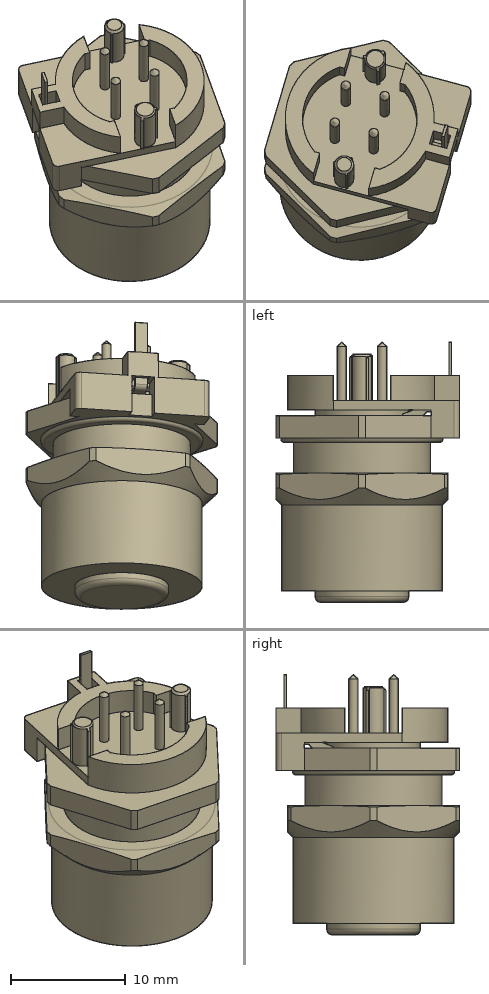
import cadquery as cq
import math

BODY_BOTTOM = 1.0
NUT_BOTTOM = 8.5
NUT_TOP = 11.3
GASKET_BOTTOM = 13.95
FLANGE_BOTTOM = 14.32
FLANGE_TOP = 16.3
PLATE_BOTTOM = 16.8
PLATE_TOP = 17.62
RING_TOP = 19.8
PEG_TOP = 21.65
TOTAL_HEIGHT = 22.7

INSERT_RADIUS = 4.09
INSERT_EDGE_RADIUS = 0.5
BODY_RADIUS = 7.01
NECK_RADIUS = 6.0
GASKET_RADIUS = 7.08
GASKET_EDGE_RADIUS = 0.3

HEX_FLATS = 15.0
HEX_CORNERS = 17.0
HEX_CORNER_RADIUS = HEX_CORNERS / 2
NUT_TOP_CHAMFER_DROP = 0.14
NUT_FACE_RADIUS = 7.26

PLATE_HALF_WIDTH = NECK_RADIUS
PLATE_FRONT = -8.51
SKIRT_BACK = -6.04
SKIRT_CORNER_RADIUS = 0.5

RING_OUTER_RADIUS = 6.5
RING_INNER_RADIUS = 5
RING_GAP = 5
RING_CAVITY_WIDTH = 8.05
BRIDGE_WIDTH = 2.72

CLIP_HOLE_WIDTH = 1.23
CLIP_HOLE_BACK = -6.5
CLIP_HOLE_FRONT = -8.05
NOTCH_WIDTH = 2.05
NOTCH_SLOPE_TOP = 17.27
NOTCH_SLOPE_BOTTOM = 16.82

CLIP_THICKNESS = 0.25
CLIP_WIDTH = 1.1
CLIP_FRONT = -7.83
CLIP_BOTTOM = 16.62
CLIP_BEND_RADIUS = 0.45
FOOT_WIDTH = 4.09
FOOT_BEND = -5.68
FOOT_HEEL = -5.35
FOOT_RIDGE = -4.45
FOOT_TOE = -3.25

PIN_PITCH = 3.52
PIN_RADIUS = 0.4
PIN_TIP_HEIGHT = 0.36

PEG_OFFSET = 5.02
LEFT_PEG = {"radius": 0.85, "top_radius": 0.64, "rib_reach": 0.95, "rib_width": 0.18}
RIGHT_PEG = {"radius": 0.9, "top_radius": 0.77, "rib_reach": 1.1, "rib_width": 0.27}
RIB_ANGLES = (90, 210, 330)


def cylinder(radius, bottom, top):
    return cq.Workplane("XY").workplane(offset=bottom).circle(radius).extrude(top - bottom)


def block(x_min, x_max, y_min, y_max, z_min, z_max):
    size = (x_max - x_min, y_max - y_min, z_max - z_min)
    return cq.Workplane("XY").box(*size, centered=False).translate((x_min, y_min, z_min))


def centred_block(width, y_min, y_max, z_min, z_max):
    return block(-width / 2, width / 2, y_min, y_max, z_min, z_max)


def hexagon(bottom, top):
    """Hexagonal prism with flats towards +Y and -Y and its corners turned to a circle."""
    corner_diameter = HEX_FLATS / math.cos(math.pi / 6)
    prism = cq.Workplane("XY").workplane(offset=bottom).polygon(6, corner_diameter).extrude(top - bottom)
    return prism.intersect(cylinder(HEX_CORNER_RADIUS, bottom, top))


def nut():
    """Hexagon with a 45 degree cone below and a shallow cone on top."""
    chamfer_rise = HEX_CORNER_RADIUS - BODY_RADIUS
    envelope = (
        cq.Workplane("XZ")
        .moveTo(0, NUT_BOTTOM)
        .lineTo(BODY_RADIUS, NUT_BOTTOM)
        .lineTo(HEX_CORNER_RADIUS, NUT_BOTTOM + chamfer_rise)
        .lineTo(HEX_CORNER_RADIUS, NUT_TOP - NUT_TOP_CHAMFER_DROP)
        .lineTo(NUT_FACE_RADIUS, NUT_TOP)
        .lineTo(0, NUT_TOP)
        .close()
        .revolve(360, (0, 0), (0, 1))
    )
    return hexagon(NUT_BOTTOM, NUT_TOP).intersect(envelope)


def housing():
    """Insert, round body, nut, neck, gasket and hexagonal flange on one axis."""
    insert = cylinder(INSERT_RADIUS, 0, PLATE_TOP).faces("<Z").edges().fillet(INSERT_EDGE_RADIUS)
    gasket = cylinder(GASKET_RADIUS, GASKET_BOTTOM, FLANGE_BOTTOM)
    gasket = gasket.faces("<Z").edges().fillet(GASKET_EDGE_RADIUS)
    return (
        insert.union(cylinder(BODY_RADIUS, BODY_BOTTOM, NUT_BOTTOM))
        .union(nut())
        .union(cylinder(NECK_RADIUS, NUT_TOP, GASKET_BOTTOM))
        .union(gasket)
        .union(hexagon(FLANGE_BOTTOM, FLANGE_TOP))
    )


def ring_cavity():
    """Space inside the ring together with the gaps on its two sides."""
    bore = cylinder(RING_INNER_RADIUS, PLATE_TOP, RING_TOP).intersect(
        centred_block(RING_CAVITY_WIDTH, -RING_INNER_RADIUS, RING_INNER_RADIUS, PLATE_TOP, RING_TOP)
    )
    gaps = centred_block(2 * RING_OUTER_RADIUS, -RING_GAP / 2, RING_GAP / 2, PLATE_TOP, RING_TOP)
    return bore.union(gaps)


def clip_opening():
    """Vertical hole through the bridge that opens into a notch in the skirt."""
    hole = centred_block(CLIP_HOLE_WIDTH, CLIP_HOLE_FRONT, CLIP_HOLE_BACK, FLANGE_BOTTOM, RING_TOP)
    notch = (
        cq.Workplane("YZ")
        .moveTo(PLATE_FRONT, FLANGE_BOTTOM)
        .lineTo(PLATE_FRONT, PLATE_TOP)
        .lineTo(CLIP_HOLE_BACK, PLATE_TOP)
        .lineTo(CLIP_HOLE_BACK, NOTCH_SLOPE_TOP)
        .lineTo(SKIRT_BACK, NOTCH_SLOPE_BOTTOM)
        .lineTo(SKIRT_BACK, FLANGE_BOTTOM)
        .close()
        .extrude(NOTCH_WIDTH / 2, both=True)
    )
    return hole.union(notch)


def mounting_plate():
    """Plate with the broken ring on top, the bridge and the skirt over the flange."""
    disc = cylinder(RING_OUTER_RADIUS, PLATE_BOTTOM, RING_TOP).intersect(
        centred_block(2 * PLATE_HALF_WIDTH, -RING_OUTER_RADIUS, RING_OUTER_RADIUS, PLATE_BOTTOM, RING_TOP)
    )
    bridge = centred_block(BRIDGE_WIDTH, PLATE_FRONT, -RING_INNER_RADIUS, PLATE_TOP, RING_TOP)
    slab = centred_block(2 * PLATE_HALF_WIDTH, PLATE_FRONT, RING_GAP / 2, PLATE_BOTTOM, PLATE_TOP)
    skirt = centred_block(2 * PLATE_HALF_WIDTH, PLATE_FRONT, SKIRT_BACK, FLANGE_BOTTOM, PLATE_TOP)
    base = slab.union(skirt).edges("|Z and <Y").fillet(SKIRT_CORNER_RADIUS)
    return disc.union(bridge).cut(ring_cavity()).union(base).cut(clip_opening())


def contact_clip():
    """Upright blade bent towards +Y into a wide foot with two arms resting on the flange."""
    outer_turn = CLIP_BEND_RADIUS * (1 - math.sqrt(0.5))
    inner_face = CLIP_FRONT + CLIP_THICKNESS
    foot_top = CLIP_BOTTOM + CLIP_THICKNESS
    blade = (
        cq.Workplane("YZ")
        .moveTo(CLIP_FRONT, TOTAL_HEIGHT)
        .lineTo(CLIP_FRONT, CLIP_BOTTOM + CLIP_BEND_RADIUS)
        .threePointArc(
            (CLIP_FRONT + outer_turn, CLIP_BOTTOM + outer_turn),
            (CLIP_FRONT + CLIP_BEND_RADIUS, CLIP_BOTTOM),
        )
        .lineTo(CLIP_HOLE_BACK, CLIP_BOTTOM)
        .lineTo(CLIP_HOLE_BACK, foot_top)
        .lineTo(inner_face, foot_top)
        .lineTo(inner_face, TOTAL_HEIGHT)
        .close()
        .extrude(CLIP_WIDTH / 2, both=True)
    )
    foot = (
        cq.Workplane("YZ")
        .moveTo(CLIP_HOLE_BACK, CLIP_BOTTOM)
        .lineTo(FOOT_BEND, CLIP_BOTTOM)
        .lineTo(FOOT_HEEL, FLANGE_TOP)
        .lineTo(FOOT_TOE, FLANGE_TOP)
        .lineTo(FOOT_RIDGE, PLATE_BOTTOM)
        .lineTo(SKIRT_BACK, foot_top)
        .lineTo(CLIP_HOLE_BACK, foot_top)
        .close()
        .extrude(FOOT_WIDTH / 2, both=True)
    )
    arm_gap = centred_block(NOTCH_WIDTH, CLIP_HOLE_BACK, FOOT_TOE, FLANGE_TOP, CLIP_BOTTOM)
    return blade.union(foot.cut(arm_gap))


def pin(x, y):
    """Round contact pin with a conical tip."""
    tip_bottom = TOTAL_HEIGHT - PIN_TIP_HEIGHT
    return (
        cq.Workplane("XZ")
        .moveTo(0, PLATE_BOTTOM)
        .lineTo(PIN_RADIUS, PLATE_BOTTOM)
        .lineTo(PIN_RADIUS, tip_bottom)
        .lineTo(0, TOTAL_HEIGHT)
        .close()
        .revolve(360, (0, 0), (0, 1))
        .translate((x, y, 0))
    )


def peg(x, radius, top_radius, rib_reach, rib_width):
    """Round peg with crush ribs, all under one 45 degree chamfer."""
    post = cylinder(radius, PLATE_BOTTOM, PEG_TOP)
    for angle in RIB_ANGLES:
        rib = block(0, rib_reach, -rib_width / 2, rib_width / 2, PLATE_TOP, PEG_TOP)
        post = post.union(rib.rotate((0, 0, 0), (0, 0, 1), angle))
    envelope_radius = math.hypot(rib_reach, rib_width / 2)
    chamfer = envelope_radius - top_radius
    envelope = cylinder(envelope_radius, PLATE_BOTTOM, PEG_TOP).faces(">Z").edges().chamfer(chamfer)
    return post.intersect(envelope).translate((x, 0, 0))


result = housing().union(mounting_plate()).union(contact_clip())
for x_side in (-1, 1):
    for y_side in (-1, 1):
        result = result.union(pin(x_side * PIN_PITCH / 2, y_side * PIN_PITCH / 2))
result = result.union(peg(-PEG_OFFSET, **LEFT_PEG))
result = result.union(peg(PEG_OFFSET, **RIGHT_PEG))